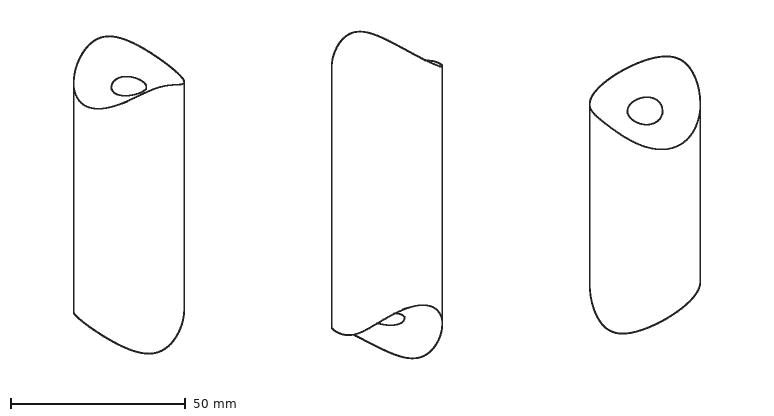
import cadquery as cq

tube_diameter = 31.7
bore_diameter = 10.05
blank_length = 111.7

saddle_radius = 19.1
saddle_length = 55.85
top_axis_height = 56.9
top_axis_offset = -0.2
top_skew = -5.5
bottom_axis_height = -55.8
bottom_axis_offset = 0.8
bottom_skew = -4.2


def saddle_cutter(axis_height, axis_offset, skew, outward):
    """Crossing cylinder, extended away from the part to clear the blank end."""
    cylinder = (
        cq.Workplane("XZ", origin=(axis_offset, 0, axis_height))
        .circle(saddle_radius)
        .extrude(saddle_length / 2, both=True)
    )
    clearance = (
        cq.Workplane("XY")
        .box(2 * saddle_radius, saddle_length, 2 * saddle_radius)
        .translate((axis_offset, 0, axis_height + outward * saddle_radius))
    )
    return cylinder.union(clearance).rotate((0, 0, 0), (0, 0, 1), skew)


blank = (
    cq.Workplane("XY", origin=(0, 0, -blank_length / 2))
    .circle(tube_diameter / 2)
    .circle(bore_diameter / 2)
    .extrude(blank_length)
)

top_saddle = saddle_cutter(top_axis_height, top_axis_offset, top_skew, 1)
bottom_saddle = saddle_cutter(bottom_axis_height, bottom_axis_offset, bottom_skew, -1)
result = blank.cut(top_saddle).cut(bottom_saddle)